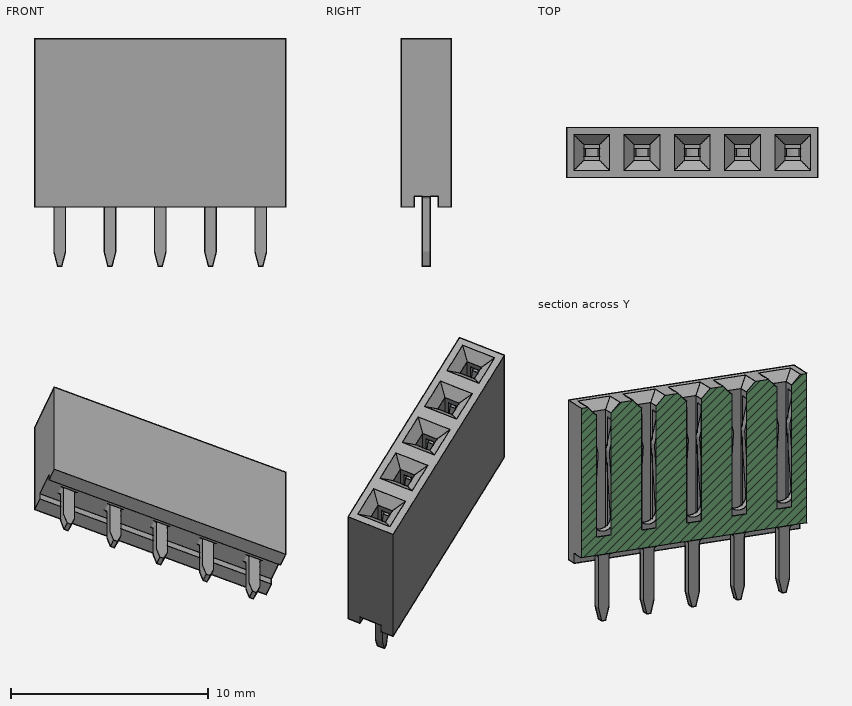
import cadquery as cq
import math

contact_count = 5
pitch = 2.54
housing_length = contact_count * pitch
housing_depth = pitch
housing_height = 8.51
channel_width = 1.2
channel_height = 0.53

funnel_width = 1.8
funnel_height = 0.5
hole_width = 0.8
hole_floor_z = 1.52
funnel_bottom_z = housing_height - funnel_height

groove_drop = 0.34
groove_top_z = funnel_bottom_z - groove_drop

contact_thickness = 0.41
contact_width = 1.5
arm_tip_drop = 0.51
arm_tip_width = 0.15
lead_in_height = 1.22
arm_top_z = groove_top_z - arm_tip_drop
pinch_width = 0.62
pinch_z = arm_top_z - lead_in_height
crotch_radius = 0.57
crotch_rise = 0.25
crotch_center_z = hole_floor_z + crotch_rise + crotch_radius

pin_width = 0.6
pin_length = 3.0
pin_taper_length = 0.74
pin_tip_width = 0.22
pin_root_radius = 0.15

contact_positions = [(i - (contact_count - 1) / 2) * pitch for i in range(contact_count)]


def make_housing():
    """Plain block with a channel running lengthwise along its underside."""
    block = cq.Workplane("XY").box(housing_length, housing_depth, housing_height, centered=(True, True, False))
    channel = cq.Workplane("XY").box(housing_length, channel_width, channel_height, centered=(True, True, False))
    return block.cut(channel)


def make_socket(x):
    """Volume removed for one socket: funnel, square hole and arm grooves."""
    funnel = (
        cq.Workplane("XY", origin=(x, 0, funnel_bottom_z))
        .rect(hole_width, hole_width)
        .workplane(offset=funnel_height)
        .rect(funnel_width, funnel_width)
        .loft(ruled=True)
    )
    hole = (
        cq.Workplane("XY", origin=(x, 0, hole_floor_z))
        .rect(hole_width, hole_width)
        .extrude(funnel_bottom_z - hole_floor_z)
    )
    grooves = (
        cq.Workplane("XY", origin=(x, 0, hole_floor_z))
        .rect(contact_width, contact_thickness)
        .extrude(groove_top_z - hole_floor_z)
    )
    return funnel.union(hole).union(grooves)


def make_contact(x):
    """Fork whose arms pinch together above a round crotch, with a tapered pin below."""
    half_contact = contact_width / 2
    half_mouth = half_contact - arm_tip_width
    half_pinch = pinch_width / 2
    half_pin = pin_width / 2
    half_tip = pin_tip_width / 2
    taper_z = pin_taper_length - pin_length
    root_z = channel_height - pin_root_radius
    half_root = half_pin + pin_root_radius
    root_mid = pin_root_radius * (1 - math.sqrt(0.5))

    outline = (
        cq.Workplane("XZ", origin=(x, 0, 0))
        .moveTo(-half_contact, channel_height)
        .lineTo(-half_contact, arm_top_z)
        .lineTo(-half_mouth, arm_top_z)
        .lineTo(-half_pinch, pinch_z)
        .lineTo(-crotch_radius, crotch_center_z)
        .threePointArc((0, crotch_center_z - crotch_radius), (crotch_radius, crotch_center_z))
        .lineTo(half_pinch, pinch_z)
        .lineTo(half_mouth, arm_top_z)
        .lineTo(half_contact, arm_top_z)
        .lineTo(half_contact, channel_height)
        .lineTo(half_root, channel_height)
        .threePointArc((half_pin + root_mid, channel_height - root_mid), (half_pin, root_z))
        .lineTo(half_pin, taper_z)
        .lineTo(half_tip, -pin_length)
        .lineTo(-half_tip, -pin_length)
        .lineTo(-half_pin, taper_z)
        .lineTo(-half_pin, root_z)
        .threePointArc((-half_pin - root_mid, channel_height - root_mid), (-half_root, channel_height))
    )
    return outline.close().extrude(contact_thickness / 2, both=True)


result = make_housing()
for position in contact_positions:
    result = result.cut(make_socket(position))
for position in contact_positions:
    result = result.union(make_contact(position))